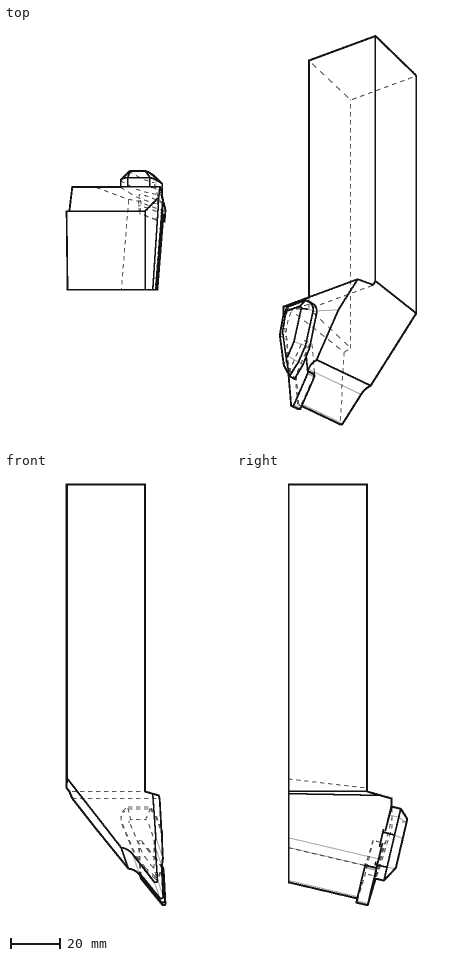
import cadquery as cq
import math

shank_size = 32.0
shank_side_draft = 0.4
ledge_z = -125.0
ledge_slope = 16.0
head_depth = 41.9
block_reach = 50.0
block_bottom_z = -180.0

nose_angle = 35.0
lead_angle = 3.0
inscribed_circle = 9.525
insert_thickness = 4.76
nose_radius = 0.8
tip_point = (40.48, 31.75, -172.98)
side_tilt = 4.6
end_tilt = 13.2

flank_clearance = 0.55
lead_step = 0.5
back_step = 2.0
lead_step_span = (17.4, 21.2)
back_step_span = (18.2, 23.0)
flank_length = 75.0
prism_length = 70.0

clamp_base = (30.0, 40.3, -140.0)
clamp_height = 7.01
clamp_wall = 3.4
clamp_bevel_width = 3.5
clamp_root = 1.5
clamp_heel_start = (-7.9, -3.5)
clamp_heel_middle = (-7.3, -6.8)
clamp_heel_end = (-5.0, -9.0)
clamp_corners = [
    (4.0, -9.0), (6.4, -5.5), (9.0, 2.0), (9.0, 15.5),
    (7.0, 21.1), (2.0, 16.4), (-2.2, 10.5),
]

seat_normal = cq.Vector(math.tan(math.radians(side_tilt)), 1, -math.tan(math.radians(end_tilt)))
seat_x = cq.Vector(1, 0, 0) - seat_normal * (seat_normal.x / seat_normal.dot(seat_normal))
seat = cq.Plane(origin=tip_point, xDir=seat_x, normal=seat_normal)

clamp_normal = cq.Vector(0, 1, -math.tan(math.radians(end_tilt)))
clamp_seat = cq.Plane(origin=clamp_base, xDir=(1, 0, 0), normal=clamp_normal)

back_angle = lead_angle + nose_angle
middle_angle = lead_angle + nose_angle / 2
half_nose = math.radians(nose_angle / 2)


def edge_point(angle, along, offset=0.0, side=1):
    """Point beside an insert edge: side 1 is outward of the lead edge, -1 of the back edge."""
    a = math.radians(angle)
    x = -along * math.sin(a) + side * offset * math.cos(a)
    y = -along * math.cos(a) - side * offset * math.sin(a)
    return (x, y)


def lead_point(along, offset):
    return edge_point(lead_angle, along, offset, 1)


def back_point(along, offset):
    return edge_point(back_angle, along, offset, -1)


def step_middle(span, rise):
    """Along and offset of the middle of a step arc that leaves the lower flank tangentially."""
    length = span[1] - span[0]
    radius = (length**2 + rise**2) / (2 * rise)
    half_sweep = math.asin(length / radius) / 2
    along = span[0] + radius * math.sin(half_sweep)
    offset = radius * (1 - math.cos(half_sweep)) - flank_clearance
    return along, offset


def make_insert():
    edge = inscribed_circle / math.sin(math.radians(nose_angle))
    lead_corner = edge_point(lead_angle, edge)
    back_corner = edge_point(back_angle, edge)
    far_corner = (lead_corner[0] + back_corner[0], lead_corner[1] + back_corner[1])
    body = (
        cq.Workplane(seat)
        .polyline([(0, 0), lead_corner, far_corner, back_corner])
        .close()
        .extrude(-insert_thickness)
    )
    corner_edges = cq.selectors.ParallelDirSelector(seat.zDir)
    return body.edges(corner_edges).fillet(nose_radius)


def make_shank():
    bar = (
        cq.Workplane("XY")
        .polyline([
            (shank_side_draft, 0), (shank_size, 0),
            (shank_size, shank_size), (0, shank_size),
        ])
        .close()
        .extrude(ledge_z)
    )
    upper_flank = back_step - flank_clearance
    trim = (
        cq.Workplane(seat)
        .polyline([
            back_point(0, upper_flank), back_point(flank_length, upper_flank),
            back_point(flank_length, upper_flank + block_reach),
            back_point(0, upper_flank + block_reach),
        ])
        .close()
        .extrude(prism_length, both=True)
    )
    return bar.cut(trim)


def ledge_profile(workplane, reach, depth):
    """Block whose top is level over the shank and falls away beyond it."""
    drop = (reach - shank_size) * math.tan(math.radians(ledge_slope))
    return (
        cq.Workplane(workplane)
        .polyline([
            (0, ledge_z), (shank_size, ledge_z), (reach, ledge_z - drop),
            (reach, block_bottom_z), (0, block_bottom_z),
        ])
        .close()
        .extrude(depth)
    )


def make_wedge():
    """Pointed section of the head, running square to the seat and ending at the rake face."""
    nose_centre = (flank_clearance + nose_radius) / math.sin(half_nose)
    nose_tangent = (flank_clearance + nose_radius) / math.tan(half_nose)
    return (
        cq.Workplane(seat)
        .moveTo(*back_point(nose_tangent, -flank_clearance))
        .threePointArc(
            edge_point(middle_angle, nose_centre - nose_radius),
            lead_point(nose_tangent, -flank_clearance),
        )
        .lineTo(*lead_point(lead_step_span[0], -flank_clearance))
        .threePointArc(
            lead_point(*step_middle(lead_step_span, lead_step)),
            lead_point(lead_step_span[1], lead_step - flank_clearance),
        )
        .lineTo(*lead_point(flank_length, lead_step - flank_clearance))
        .lineTo(*back_point(flank_length, back_step - flank_clearance))
        .lineTo(*back_point(back_step_span[1], back_step - flank_clearance))
        .threePointArc(
            back_point(*step_middle(back_step_span, back_step)),
            back_point(back_step_span[0], -flank_clearance),
        )
        .close()
        .extrude(-prism_length)
    )


def make_head():
    side_block = ledge_profile("YZ", head_depth, block_reach)
    lead_block = ledge_profile("XZ", block_reach, -head_depth)
    return side_block.intersect(lead_block).intersect(make_wedge())


def clamp_section(height):
    """Clamp foot outline, drawn at a height above the foot plane."""
    outline = (
        cq.Workplane(clamp_seat)
        .workplane(offset=height)
        .moveTo(*clamp_heel_start)
        .threePointArc(clamp_heel_middle, clamp_heel_end)
    )
    for corner in clamp_corners:
        outline = outline.lineTo(*corner)
    return outline.close()


def make_clamp():
    bevel_height = clamp_height - clamp_wall
    bevel_angle = math.degrees(math.atan(clamp_bevel_width / bevel_height))
    foot = clamp_section(-clamp_root).extrude(clamp_root + clamp_wall)
    cap = clamp_section(clamp_wall).extrude(bevel_height, taper=bevel_angle)
    return foot.union(cap)


insert = make_insert()
holder = make_shank().union(make_head()).union(make_clamp()).cut(insert)

result = cq.Compound.makeCompound([*holder.solids().vals(), *insert.solids().vals()])